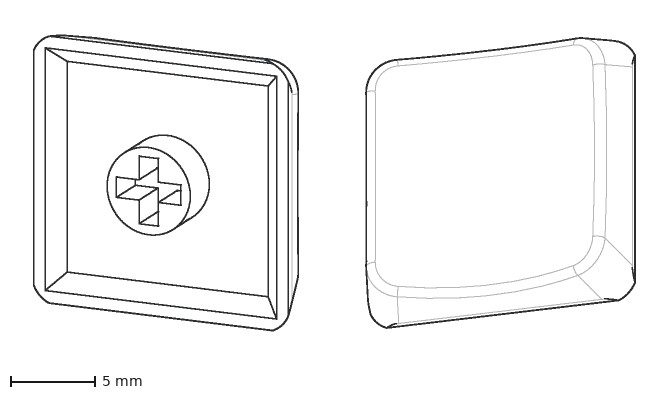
import cadquery as cq
import math

width = 16.5
skirt_height = 0.53
draft_angle = 16.0
corner_radius = 2.0
blank_height = 4.95

dish_floor = 2.08
dish_radius_x = 17.65
dish_radius_z = 71.61
rim_radius = 0.5
cutter_margin = 1.65

pocket_mouth = 15.0
pocket_depth = 1.0
pocket_wall_angle = 44.5

stem_diameter = 5.4
stem_projection = 1.8
cross_length = 4.17
cross_arm = 1.25
cross_depth = stem_projection + pocket_depth


def plane_at(y):
    """Sketch plane at height y, with its normal along +Y."""
    return cq.Workplane(cq.Plane(origin=(0, y, 0), xDir=(1, 0, 0), normal=(0, 1, 0)))


def make_blank():
    """Tapered block with rounded slanted corners, trimmed to a vertical skirt."""
    base = width + 2 * skirt_height * math.tan(math.radians(draft_angle))
    taper = plane_at(0).rect(base, base).extrude(blank_height, taper=draft_angle)
    taper = taper.edges("not(#Y or |X or |Z)").fillet(corner_radius)
    return taper.intersect(plane_at(0).rect(width, width).extrude(blank_height))


def make_dish_cutter():
    """Arc across X revolved about a distant axis parallel to X."""
    half = width / 2 + cutter_margin
    edge_height = dish_floor + dish_radius_x - math.sqrt(dish_radius_x**2 - half**2)
    top = edge_height + blank_height
    profile = (
        cq.Workplane("XY")
        .moveTo(-half, edge_height)
        .threePointArc((0, dish_floor), (half, edge_height))
        .lineTo(half, top)
        .lineTo(-half, top)
        .close()
    )
    axis_height = dish_floor + dish_radius_z
    return profile.revolve(360, (-0.16, axis_height, 0), (0.16, axis_height, 0))


def make_pocket():
    return plane_at(0).rect(pocket_mouth, pocket_mouth).extrude(pocket_depth, taper=pocket_wall_angle)


def make_stem():
    return plane_at(-stem_projection).circle(stem_diameter / 2).extrude(stem_projection + pocket_depth)


def make_cross():
    start = plane_at(-stem_projection)
    bar = start.rect(cross_length, cross_arm).extrude(cross_depth)
    return bar.union(start.rect(cross_arm, cross_length).extrude(cross_depth))


body = make_blank().cut(make_dish_cutter())
body = body.faces(">Y").edges().fillet(rim_radius)
result = body.cut(make_pocket()).union(make_stem()).cut(make_cross())